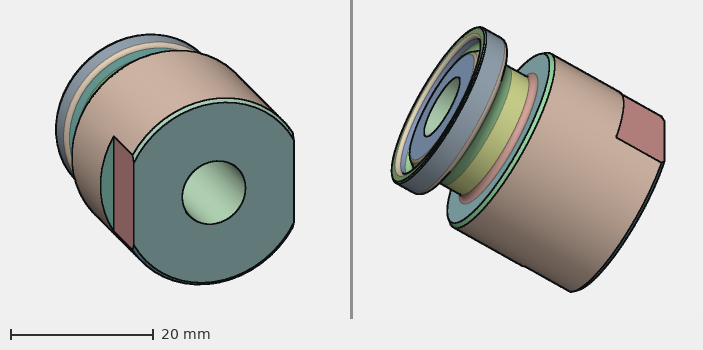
import cadquery as cq
import math

length = 30.0
body_radius = 28.0 / 2
bore_radius = 4.75

body_start = 10.0
body_front_chamfer_length = 0.6
body_back_chamfer_length = 0.5
body_chamfer_depth = 0.48

neck_radius = 9.5
neck_end_fillet = 0.93

flange_radius = 25.0 / 2
flange_edge_chamfer = 0.2
flange_rim_end = 3.18
flange_rim_fillet = 0.85
flange_back_fillet = 1.98
flange_back_angle = math.radians(18)

groove_lip_radius = 11.4
groove_lip_round = 0.57
groove_wall_length = 0.75
groove_floor_radius = 0.72
cone_angle = math.radians(55)
cone_outer_radius = 9.48
cone_inner_radius = 8.9
centre_face_radius = 8.43

flats_width = 24.0
flats_start = 22.0


def arc_point(center, radius, angle):
    """Point on a circle; the angle is measured from +X toward the radial direction."""
    return (center[0] + radius * math.cos(angle), center[1] + radius * math.sin(angle))


def add_arc(outline, center, radius, start, end):
    """Extend the outline by an arc from its current point at the start angle."""
    middle = arc_point(center, radius, (start + end) / 2)
    return outline.threePointArc(middle, arc_point(center, radius, end))


def add_groove(outline):
    """Draw from the bore edge over the centre face and groove to the flange lip."""
    wall_radius = groove_lip_radius - groove_lip_round
    floor_center = (groove_lip_round + groove_wall_length, wall_radius - groove_floor_radius)
    cone_bottom_x = floor_center[0] + groove_floor_radius * math.cos(cone_angle)
    cone_top_x = cone_bottom_x - (cone_outer_radius - cone_inner_radius) * math.tan(cone_angle)
    face_round = (cone_inner_radius - centre_face_radius) / math.sin(cone_angle)
    face_x = cone_top_x - face_round * (1 - math.cos(cone_angle))

    outline = outline.moveTo(face_x, bore_radius).lineTo(face_x, centre_face_radius)
    round_center = (face_x + face_round, centre_face_radius)
    outline = add_arc(outline, round_center, face_round, math.pi, math.pi - cone_angle)
    outline = outline.lineTo(*arc_point(floor_center, groove_floor_radius, -cone_angle))
    outline = add_arc(outline, floor_center, groove_floor_radius, -cone_angle, math.pi / 2)
    outline = outline.lineTo(groove_lip_round, wall_radius)
    lip_center = (groove_lip_round, groove_lip_radius)
    return add_arc(outline, lip_center, groove_lip_round, -math.pi / 2, -math.pi)


def add_flange_and_neck(outline):
    """Draw the flange rim, its sloping back, the neck and the fillet into the body."""
    outline = outline.lineTo(0, flange_radius - flange_edge_chamfer)
    outline = outline.lineTo(flange_edge_chamfer, flange_radius)
    outline = outline.lineTo(flange_rim_end, flange_radius)
    rim_center = (flange_rim_end, flange_radius - flange_rim_fillet)
    outline = add_arc(outline, rim_center, flange_rim_fillet, math.pi / 2, flange_back_angle)

    back_center_y = neck_radius + flange_back_fillet
    center_drop = rim_center[1] - back_center_y
    center_gap = flange_rim_fillet + flange_back_fillet + center_drop * math.sin(flange_back_angle)
    back_center = (flange_rim_end + center_gap / math.cos(flange_back_angle), back_center_y)
    tangent_angle = math.pi + flange_back_angle
    outline = outline.lineTo(*arc_point(back_center, flange_back_fillet, tangent_angle))
    outline = add_arc(outline, back_center, flange_back_fillet, tangent_angle, 3 * math.pi / 2)

    end_center = (body_start - neck_end_fillet, neck_radius + neck_end_fillet)
    outline = outline.lineTo(end_center[0], neck_radius)
    return add_arc(outline, end_center, neck_end_fillet, -math.pi / 2, 0)


def add_body(outline):
    """Draw the chamfered body and return along the bore."""
    chamfered_radius = body_radius - body_chamfer_depth
    return (
        outline.lineTo(body_start, chamfered_radius)
        .lineTo(body_start + body_front_chamfer_length, body_radius)
        .lineTo(length - body_back_chamfer_length, body_radius)
        .lineTo(length, chamfered_radius)
        .lineTo(length, bore_radius)
        .close()
    )


def wrench_flat(side):
    """Block that cuts one flat on the +Y (side = 1) or -Y (side = -1) side."""
    flat_length = length - flats_start
    cut_depth = body_radius - flats_width / 2
    center_y = side * (flats_width + cut_depth) / 2
    block = cq.Workplane("XY").box(flat_length, cut_depth, 2 * body_radius)
    return block.translate((flats_start + flat_length / 2, center_y, 0))


profile = add_body(add_flange_and_neck(add_groove(cq.Workplane("XY"))))
result = profile.revolve(360, (0, 0, 0), (1, 0, 0))
for side in (-1, 1):
    result = result.cut(wrench_flat(side))